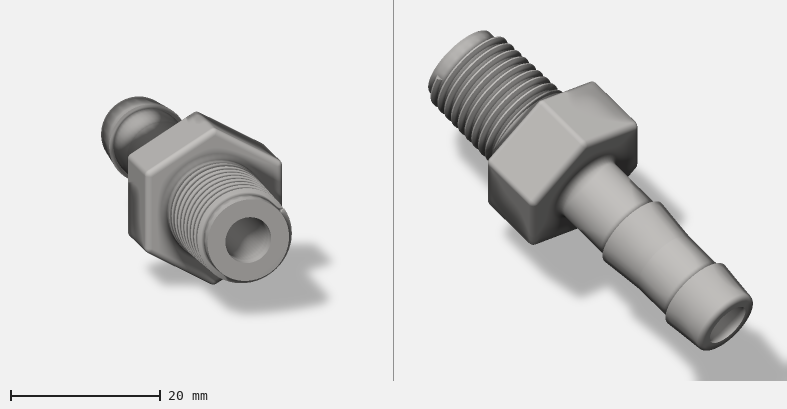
import cadquery as cq
import math

total_length = 54.0
hex_start = 28.5
hex_end = 38.05
collar_end = 39.75

bore_diameter = 6.35
tail_radius = 9.65 / 2
barb_radius = 5.45
barb_length = 6.35
barb_pitch = 12.7
barb_count = 2
tip_fillet = 0.7
tail_root_fillet = 0.85

hex_across_flats = 19.05
hex_fillet = 0.8

collar_radius = 13.7 / 2
collar_fillet = 0.65
thread_length = 13.65
thread_turns = 9.7
thread_pitch = thread_length / thread_turns
thread_taper = 0.025
core_end_radius = 5.65
thread_height = 0.75
thread_base_width = 1.2
thread_crest_width = 0.2
thread_embed = 0.15
thread_end = 52.65
thread_end_angle = 34.0


def core_radius(x):
    """Radius of the tapered thread root at station x."""
    return core_end_radius + (total_length - x) * thread_taper


def round_bar(x_start, x_end, radius_start, radius_end):
    """Straight or tapered bar on the X axis, from x_start to x_end."""
    return (
        cq.Workplane("XY")
        .polyline([(x_start, 0), (x_start, radius_start), (x_end, radius_end), (x_end, 0)])
        .close()
        .revolve(360, (0, 0, 0), (1, 0, 0))
    )


def hose_tail():
    """Plain tube carrying a row of conical barbs, with a rounded tip."""
    tail = round_bar(0, hex_start, tail_radius, tail_radius)
    for index in range(barb_count):
        start = index * barb_pitch
        tail = tail.union(round_bar(start, start + barb_length, tail_radius, barb_radius))
    return tail.faces("<X").edges().fillet(tip_fillet)


def hexagon():
    """Hexagon with two corners on the Z axis and all edges rounded."""
    corner_diameter = hex_across_flats / math.cos(math.pi / 6)
    return (
        cq.Workplane("YZ", origin=(hex_start, 0, 0))
        .transformed(rotate=(0, 0, 90))
        .polygon(6, corner_diameter)
        .extrude(hex_end - hex_start)
        .edges()
        .fillet(hex_fillet)
    )


def root_flare(x_face, direction, radius, fillet):
    """Ring with a concave round that blends a bar into a face of the hexagon."""
    x_tip = x_face + direction * fillet
    middle = fillet * (1 - math.sqrt(0.5))
    return (
        cq.Workplane("XY")
        .moveTo(x_face, 0)
        .lineTo(x_face, radius + fillet)
        .threePointArc((x_face + direction * middle, radius + middle), (x_tip, radius))
        .lineTo(x_tip, 0)
        .close()
        .revolve(360, (0, 0, 0), (1, 0, 0))
    )


def thread_ridge():
    """Tapered helical ridge whose first turn starts hidden inside the collar."""
    root_radius = core_radius(thread_end)
    inner = root_radius - thread_embed
    crest = root_radius + thread_height
    half_base = thread_base_width / 2
    half_crest = thread_crest_width / 2
    cone_angle = math.degrees(math.atan(thread_taper))

    path = cq.Wire.makeHelix(thread_pitch, thread_length, root_radius, angle=cone_angle)
    ridge = (
        cq.Workplane("XZ")
        .polyline([
            (inner, -half_base),
            (crest, -half_crest),
            (crest, half_crest),
            (inner, half_base),
        ])
        .close()
        .sweep(cq.Workplane(path), isFrenet=True)
    )
    return (
        ridge.rotate((0, 0, 0), (0, 1, 0), -90)
        .rotate((0, 0, 0), (1, 0, 0), thread_end_angle - 90)
        .translate((thread_end, 0, 0))
    )


def threaded_end():
    """Collar, tapered core and thread ridge."""
    collar = round_bar(hex_end, collar_end, collar_radius, collar_radius)
    core = round_bar(hex_end, total_length, core_radius(hex_end), core_end_radius)
    return collar.union(core).union(thread_ridge())


bore = round_bar(0, total_length, bore_diameter / 2, bore_diameter / 2)

result = (
    hexagon()
    .union(hose_tail())
    .union(root_flare(hex_start, -1, tail_radius, tail_root_fillet))
    .union(root_flare(hex_end, 1, collar_radius, collar_fillet))
    .union(threaded_end())
    .cut(bore)
)